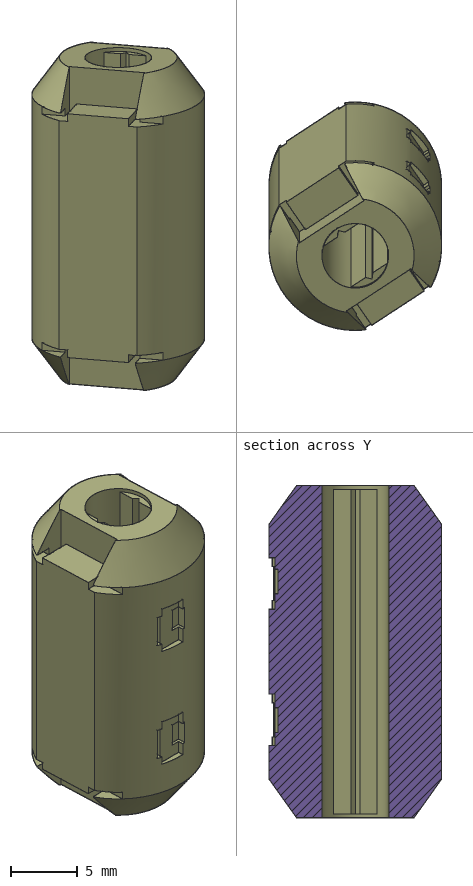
import cadquery as cq

length = 25.0
body_radius = 6.5
end_radius = 4.42
cone_height = 2.9
flat_to_flat = 11.5
shoulder_z = length / 2 - cone_height

recess_width = 5.82
recess_floor_to_floor = 6.35
tab_width = 4.75

notch_height = 0.6
notch_floor_to_floor = 8.95
notch_span = 2 * body_radius

bore_radius = 2.5
pad_gap = 3.78
pad_end_inset = 0.3
groove_depth = 0.38
groove_width = 0.68

window_height = 3.85
window_y_min = -0.22
window_y_max = 1.78
window_floor_x = -6.05
window_center_z = 5.12
slit_y_max = 2.15
slit_height = 2.55
catch_width = 0.9
catch_height = 1.82
upper_catch_z = 5.28
lower_catch_z = -5.15
slit_floor_x = -5.62
catch_floor_x = -5.82


def box_between(x_range, y_range, z_range):
    """Axis-aligned box given its lower and upper limit along each axis."""
    spans = [upper - lower for lower, upper in (x_range, y_range, z_range)]
    corner = (x_range[0], y_range[0], z_range[0])
    return cq.Workplane("XY").box(*spans, centered=False).translate(corner)


def make_body():
    """Revolved cylinder with conical ends, cut flat on the +Y and -Y sides."""
    revolved = (
        cq.Workplane("XZ")
        .moveTo(0, -length / 2)
        .lineTo(end_radius, -length / 2)
        .lineTo(body_radius, -shoulder_z)
        .lineTo(body_radius, shoulder_z)
        .lineTo(end_radius, length / 2)
        .lineTo(0, length / 2)
        .close()
        .revolve(360, (0, 0), (0, 1))
    )
    return revolved.intersect(cq.Workplane("XY").box(2 * body_radius, flat_to_flat, length))


def make_end_recess():
    """Cutter for the recess and notches on the -Y side of the top end."""
    notch_z = shoulder_z - notch_height
    outside_y = -body_radius
    recess = box_between(
        (-recess_width / 2, recess_width / 2),
        (outside_y, -recess_floor_to_floor / 2),
        (notch_z, length / 2),
    )
    notch = box_between(
        (-notch_span / 2, notch_span / 2),
        (outside_y, -notch_floor_to_floor / 2),
        (notch_z, shoulder_z),
    )
    tab = box_between(
        (-tab_width / 2, tab_width / 2),
        (outside_y, 0),
        (notch_z, shoulder_z),
    )
    return recess.union(notch).cut(tab)


def make_bore():
    """Bore cutter that leaves two grooved pads standing between the end lips."""
    bore = cq.Workplane("XY").circle(bore_radius).extrude(length / 2, both=True)
    pad_half_length = length / 2 - pad_end_inset
    pad_y = pad_gap / 2
    for side in (-1, 1):
        pad = (
            cq.Workplane("XY")
            .moveTo(-bore_radius, side * pad_y)
            .lineTo(-groove_width / 2, side * pad_y)
            .lineTo(0, side * (pad_y + groove_depth))
            .lineTo(groove_width / 2, side * pad_y)
            .lineTo(bore_radius, side * pad_y)
            .lineTo(bore_radius, side * bore_radius)
            .lineTo(-bore_radius, side * bore_radius)
            .close()
            .extrude(pad_half_length, both=True)
        )
        bore = bore.cut(pad)
    return bore


def make_latch_window(center_z, catch_z):
    """Cutter for a shallow window with a deeper side slit and catch pocket."""
    def opening(floor_x, y_range, middle_z, height):
        z_range = (middle_z - height / 2, middle_z + height / 2)
        return box_between((-body_radius, floor_x), y_range, z_range)

    window = opening(window_floor_x, (window_y_min, window_y_max), center_z, window_height)
    slit = opening(slit_floor_x, (window_y_max, slit_y_max), center_z, slit_height)
    catch = opening(catch_floor_x, (-catch_width / 2, catch_width / 2), catch_z, catch_height)
    return window.union(slit).union(catch)


result = make_body().cut(make_bore())

end_recess = make_end_recess()
for recess in (end_recess, end_recess.mirror("XZ")):
    result = result.cut(recess).cut(recess.mirror("XY"))

result = result.cut(make_latch_window(window_center_z, upper_catch_z))
result = result.cut(make_latch_window(-window_center_z, lower_catch_z))